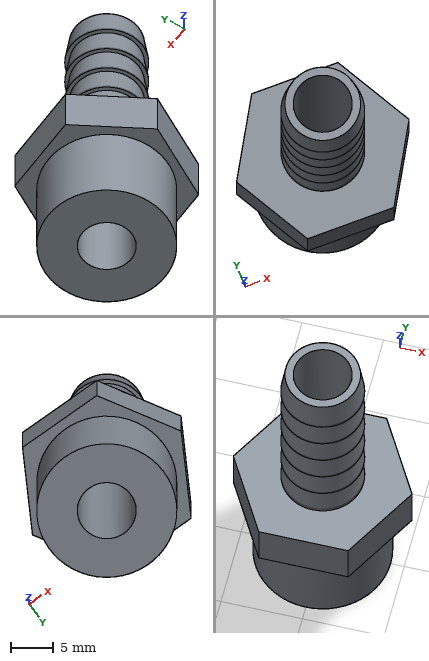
import cadquery as cq
import math

total_height = 40.0
thread_diameter = 16.7
thread_length = 11.0
hex_across_flats = 19.0
hex_height = 6.0
bore_diameter = 7.0

barb_count = 6
barb_tip_diameter = 9.0
barb_crest_diameter = 10.0
barb_pitch = 3.8
barb_land = 0.2

hex_across_corners = hex_across_flats / math.cos(math.pi / 6)
hex_top = thread_length + hex_height
barbs_bottom = total_height - barb_count * barb_pitch


def threaded_end():
    """Plain cylinder representing the threaded end."""
    return cq.Workplane("XY").circle(thread_diameter / 2).extrude(thread_length)


def hexagon():
    """Wrench hexagon with two corners on the X axis."""
    return (
        cq.Workplane("XY")
        .workplane(offset=thread_length)
        .polygon(6, hex_across_corners)
        .extrude(hex_height)
    )


def hose_tail():
    """Stack of barbs, each a short straight land below a taper, turned about Z.

    A short collar of crest diameter joins the lowest barb to the hexagon.
    """
    tip_radius = barb_tip_diameter / 2
    crest_radius = barb_crest_diameter / 2
    profile = cq.Workplane("XZ").moveTo(0, hex_top).lineTo(crest_radius, hex_top)
    for index in range(barb_count):
        bottom = barbs_bottom + index * barb_pitch
        if index > 0:
            profile = profile.lineTo(crest_radius, bottom)
        profile = (
            profile.lineTo(crest_radius, bottom + barb_land)
            .lineTo(tip_radius, bottom + barb_pitch)
        )
    return profile.lineTo(0, total_height).close().revolve(360, (0, 0, 0), (0, 1, 0))


def bore():
    """Through bore along the whole fitting."""
    return cq.Workplane("XY").circle(bore_diameter / 2).extrude(total_height)


result = threaded_end().union(hexagon()).union(hose_tail()).cut(bore())